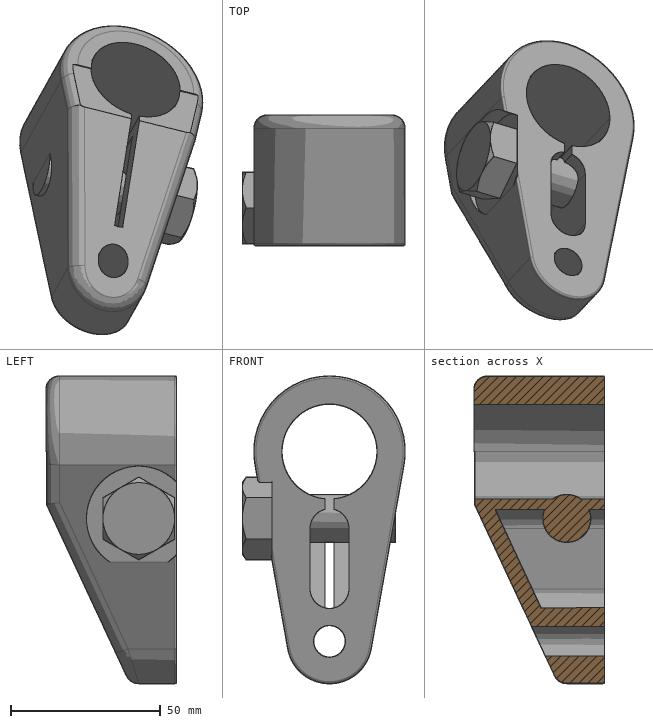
import cadquery as cq
import math

TOTAL_HEIGHT = 103.2
DEPTH = 43.8
HEAD_RADIUS = 25.4
TIP_RADIUS = 14.2
BORE_RADIUS = 15.9
TIP_HOLE_RADIUS = 5.3
TIP_Z = -(TOTAL_HEIGHT - HEAD_RADIUS - TIP_RADIUS)

BACK_STEP = 0.3
SLOPE_START_Z = -17.2
SLOPE_ANGLE = 25.0
BACK_FILLET = 4.6
FRONT_FILLET = 0.7

POCKET_WIDTH = 13.0
POCKET_TOP_Z = -19.2
POCKET_BOTTOM_Z = -52.5
POCKET_MIDDLE_Z = (POCKET_TOP_Z + POCKET_BOTTOM_Z) / 2
POCKET_WALL = 6.2
SLIT_WIDTH = 2.9

BOLT_Y = 12.7
BOLT_Z = -22.4
BOLT_RADIUS = 8.0
BOLT_END_X = 22.1
SEAT_X = -19.2
SEAT_RADIUS = 17.5
HEX_ACROSS_FLATS = 24.0
HEX_HEIGHT = 10.0
HEX_CHAMFER_ANGLE = 35.0


def slope_y(z, back_y):
    """Y of the sloping back at height z when its upper end is at back_y."""
    return back_y - (SLOPE_START_Z - z) * math.tan(math.radians(SLOPE_ANGLE))


def side_profile(back_y, top_z, bottom_z, width):
    """Prism across X with a flat front, an upright back and a sloping lower back."""
    points = [
        (0, top_z),
        (back_y, top_z),
        (back_y, SLOPE_START_Z),
        (slope_y(bottom_z, back_y), bottom_z),
        (0, bottom_z),
    ]
    return cq.Workplane("YZ").polyline(points).close().extrude(width / 2, both=True)


def plate(depth):
    """Two tangent circles joined by straight flanks, extruded toward +Y."""
    lean = math.asin((HEAD_RADIUS - TIP_RADIUS) / -TIP_Z)
    head_x = HEAD_RADIUS * math.cos(lean)
    head_z = -HEAD_RADIUS * math.sin(lean)
    tip_x = TIP_RADIUS * math.cos(lean)
    tip_z = TIP_Z - TIP_RADIUS * math.sin(lean)
    return (
        cq.Workplane("XZ")
        .moveTo(-head_x, head_z)
        .threePointArc((0, HEAD_RADIUS), (head_x, head_z))
        .lineTo(tip_x, tip_z)
        .threePointArc((0, TIP_Z - TIP_RADIUS), (-tip_x, tip_z))
        .close()
        .extrude(-depth)
    )


def body_blank():
    envelope = side_profile(DEPTH, HEAD_RADIUS, TIP_Z - TIP_RADIUS, 3 * HEAD_RADIUS)
    blank = plate(DEPTH).intersect(envelope)
    blank = blank.faces("<Y").edges().fillet(FRONT_FILLET)
    slope = math.radians(SLOPE_ANGLE)
    slope_normal = cq.Vector(0, math.cos(slope), -math.sin(slope))
    slope_face = blank.faces(cq.selectors.ParallelDirSelector(slope_normal))
    back_edges = blank.faces(">Y").edges("not |X").add(slope_face.edges("not |X"))
    blank = blank.newObject(back_edges.vals()).fillet(BACK_FILLET)
    step = cq.Workplane("XY").box(2 * HEAD_RADIUS, BACK_STEP, -TIP_Z, centered=(True, False, False))
    return blank.cut(step.translate((0, DEPTH - BACK_STEP, TIP_Z)))


def bolt_cylinder(radius, start_x, end_x):
    cylinder = cq.Workplane("YZ").circle(radius).extrude(end_x - start_x)
    return cylinder.translate((start_x, BOLT_Y, BOLT_Z))


def y_cylinder(radius, z):
    return cq.Workplane("XZ").center(0, z).circle(radius).extrude(-DEPTH)


def slot_prism():
    """Round-ended slot outline carried through the full depth."""
    length = POCKET_TOP_Z - POCKET_BOTTOM_Z
    slot = cq.Workplane("XZ").center(0, POCKET_MIDDLE_Z).slot2D(length, POCKET_WIDTH, 90)
    return slot.extrude(-DEPTH)


def pocket():
    return slot_prism().intersect(side_profile(DEPTH - POCKET_WALL, 0, POCKET_BOTTOM_Z, POCKET_WIDTH))


def slit_box(top_z, bottom_z):
    box = cq.Workplane("XY").box(SLIT_WIDTH, DEPTH, top_z - bottom_z, centered=(True, False, False))
    return box.translate((0, 0, bottom_z))


def slit():
    """Cut from the bore down to the rounded lower end of the pocket."""
    lower_part = slit_box(POCKET_MIDDLE_Z, POCKET_BOTTOM_Z).intersect(slot_prism())
    return slit_box(0, POCKET_MIDDLE_Z).union(lower_part)


def bolt():
    corner_radius = HEX_ACROSS_FLATS / math.sqrt(3)
    flat_radius = HEX_ACROSS_FLATS / 2
    chamfer_drop = (corner_radius - flat_radius) * math.tan(math.radians(HEX_CHAMFER_ANGLE))
    hexagon = cq.Workplane("YZ").polygon(6, 2 * corner_radius).extrude(-HEX_HEIGHT)
    hexagon = hexagon.rotate((0, 0, 0), (1, 0, 0), 90)
    crown = (
        cq.Workplane("XY")
        .polyline([
            (0, 0),
            (0, corner_radius),
            (chamfer_drop - HEX_HEIGHT, corner_radius),
            (-HEX_HEIGHT, flat_radius),
            (-HEX_HEIGHT, 0),
        ])
        .close()
        .revolve(360, (0, 0), (1, 0))
    )
    head = hexagon.intersect(crown).translate((SEAT_X, BOLT_Y, BOLT_Z))
    return head.union(bolt_cylinder(BOLT_RADIUS, SEAT_X, BOLT_END_X))


result = (
    body_blank()
    .cut(y_cylinder(BORE_RADIUS, 0))
    .cut(y_cylinder(TIP_HOLE_RADIUS, TIP_Z))
    .cut(pocket())
    .cut(slit())
    .cut(bolt_cylinder(SEAT_RADIUS, SEAT_X - HEAD_RADIUS, SEAT_X))
    .union(bolt())
)